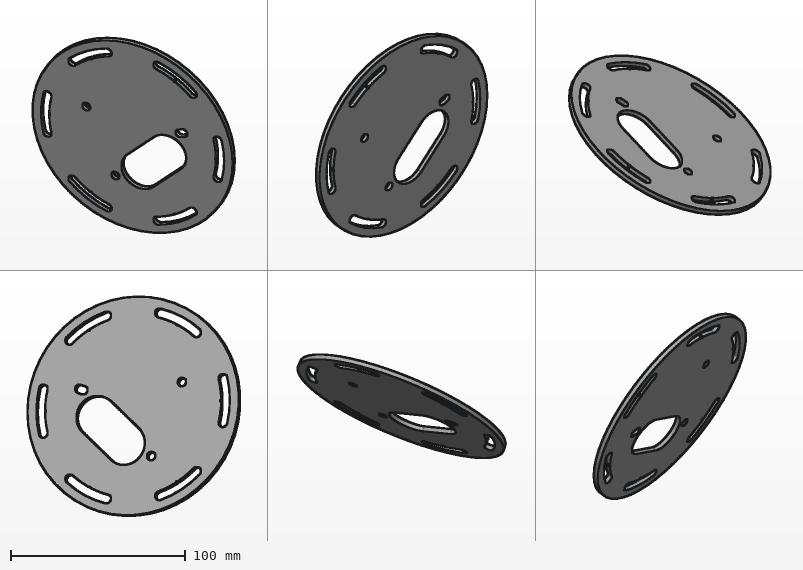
import cadquery as cq
import math

plate_diameter = 127.0
plate_thickness = 3.2

rim_slot_count = 6
rim_slot_radius = 55.5
rim_slot_width = 5.2
rim_slot_half_angle = 13.4
notch_radius = 0.5

hole_diameter = 5.0
hole_circle_radius = 31.8
hole_angles = (157.5, 250.0)
adjusting_slot_angle = 20.0
adjusting_slot_travel = 2.7

window_offset = 19.0
window_offset_angle = -45.0
window_width = 24.0
window_length = 48.1


def polar(radius, angle):
    """Point at a radius and an angle in degrees, measured from +X toward +Z."""
    return (radius * math.cos(math.radians(angle)), radius * math.sin(math.radians(angle)))


def front_sketch():
    """Workplane on the +Y face of the plate, with local x = X and local y = Z."""
    return cq.Workplane("XZ", origin=(0, plate_thickness / 2, 0))


def cut_through(body, outline):
    """Remove an outline from the plate over its full thickness."""
    return body.cut(outline.extrude(plate_thickness))


def rim_slot_outline(middle_angle):
    """Slot following the rim, with round ends."""
    inner_radius = rim_slot_radius - rim_slot_width / 2
    outer_radius = rim_slot_radius + rim_slot_width / 2
    start = middle_angle - rim_slot_half_angle
    end = middle_angle + rim_slot_half_angle
    end_cap_angle = math.degrees(rim_slot_width / 2 / rim_slot_radius)
    return (
        front_sketch()
        .moveTo(*polar(outer_radius, start))
        .threePointArc(polar(outer_radius, middle_angle), polar(outer_radius, end))
        .threePointArc(polar(rim_slot_radius, end + end_cap_angle), polar(inner_radius, end))
        .threePointArc(polar(inner_radius, middle_angle), polar(inner_radius, start))
        .threePointArc(polar(rim_slot_radius, start - end_cap_angle), polar(outer_radius, start))
        .close()
    )


def notch_outline(middle_angle):
    """Small round notch in the middle of a rim slot's inner edge."""
    inner_radius = rim_slot_radius - rim_slot_width / 2
    return front_sketch().center(*polar(inner_radius, middle_angle)).circle(notch_radius)


result = front_sketch().circle(plate_diameter / 2).extrude(plate_thickness)

for index in range(rim_slot_count):
    slot_angle = index * 360 / rim_slot_count
    result = cut_through(result, rim_slot_outline(slot_angle))
    result = cut_through(result, notch_outline(slot_angle))

hole_points = [polar(hole_circle_radius, angle) for angle in hole_angles]
result = cut_through(result, front_sketch().pushPoints(hole_points).circle(hole_diameter / 2))

adjusting_slot_middle = polar(hole_circle_radius + adjusting_slot_travel / 2, adjusting_slot_angle)
adjusting_slot_length = hole_diameter + adjusting_slot_travel
adjusting_slot = (
    front_sketch()
    .center(*adjusting_slot_middle)
    .slot2D(adjusting_slot_length, hole_diameter, adjusting_slot_angle)
)
result = cut_through(result, adjusting_slot)

window = (
    front_sketch()
    .center(*polar(window_offset, window_offset_angle))
    .slot2D(window_length, window_width, window_offset_angle + 90)
)
result = cut_through(result, window)